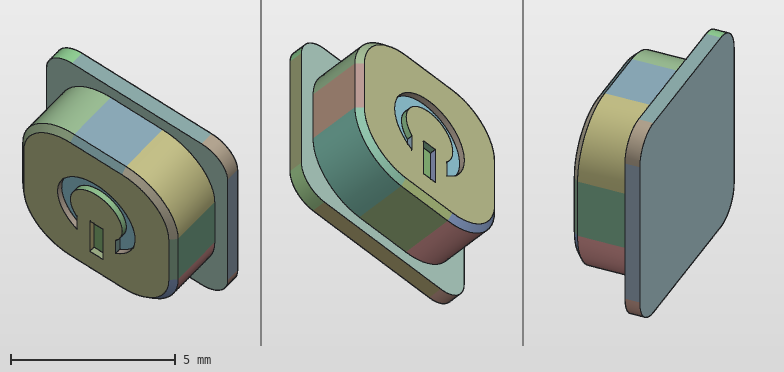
import cadquery as cq

flange_side = 7.0
flange_thickness = 0.5
flange_corner_radius = 1.0

flange_margin = 0.5
body_side = flange_side - 2 * flange_margin
body_height = 2.0
body_corner_radius = 2 * flange_corner_radius
front_chamfer = 0.2

symbol_depth = 0.2
ring_outer_radius = 1.5
ring_inner_radius = 1.0
ring_gap_width = 1.5
bar_width = 0.5
bar_top = -0.5
bar_length = 1.5

front_y = -(flange_thickness + body_height)


def rounded_block(side, corner_radius, back_y, depth):
    """Square block with rounded corners, reaching from back_y towards -Y."""
    block = cq.Workplane("XZ", origin=(0, back_y, 0)).rect(side, side).extrude(depth)
    return block.edges("|Y").fillet(corner_radius)


def symbol_plane():
    """Front face plane; a negative extrusion goes into the body."""
    return cq.Workplane("XZ", origin=(0, front_y, 0))


def broken_ring():
    """Ring recess with a straight-sided gap at its bottom."""
    ring = symbol_plane().circle(ring_outer_radius).circle(ring_inner_radius).extrude(-symbol_depth)
    gap = (
        symbol_plane()
        .center(0, -ring_outer_radius / 2)
        .rect(ring_gap_width, ring_outer_radius)
        .extrude(-symbol_depth)
    )
    return ring.cut(gap)


def bar():
    """Upright bar recess running down through the gap of the ring."""
    return (
        symbol_plane()
        .center(0, bar_top - bar_length / 2)
        .rect(bar_width, bar_length)
        .extrude(-symbol_depth)
    )


flange = rounded_block(flange_side, flange_corner_radius, 0, flange_thickness)
body = rounded_block(body_side, body_corner_radius, -flange_thickness, body_height)
body = body.faces("<Y").chamfer(front_chamfer)

result = flange.union(body).cut(broken_ring()).cut(bar())